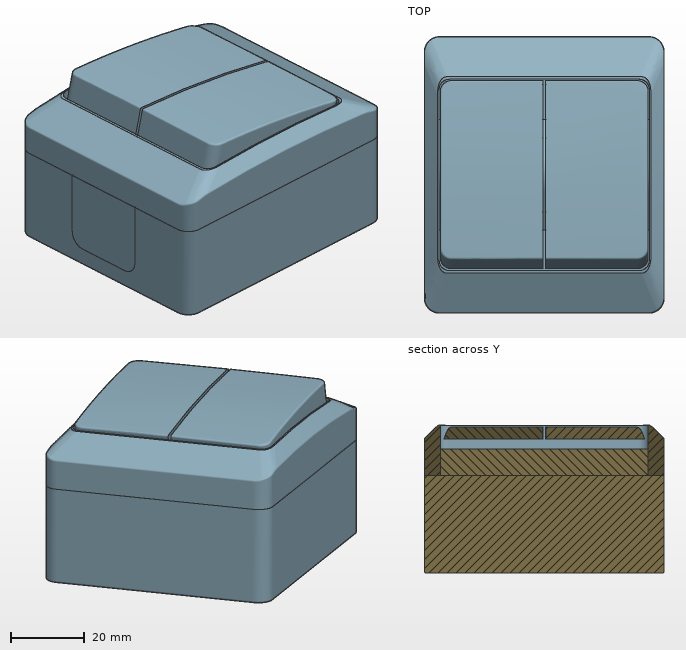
import cadquery as cq
import math


WIDTH = 65.0
LENGTH = 75.0
CORNER_R = 4.1
EDGE_R = 0.5
SEAM_Z = 26.55

PLATE_WIDTH = 24.0
PLATE_BOTTOM_Z = 4.95
PLATE_R = 4.0
PLATE_THICKNESS = 2.0

RIM_Z = 41.0
RIM_HALF_WIDTH = 28.95
RIM_HALF_LENGTH = 26.4
ARCH_R = 375.0
END_EDGE_Z = 34.6
END_SLOPE_RISE = 5.6
HIP_R = 5.4
RIM_THICKNESS = 0.45
OPENING_R = 2.8

FLOOR_Z = 33.75
RIDGE_HALF_BASE = 15.0
RIDGE_ANGLE = 28.0
RIDGE_R = 9.5

TOP_Z = 46.6
ROCKER_BOTTOM_Z = 36.4
ROCKER_HALF_WIDTH = 28.2
ROCKER_FRONT_Y = -22.9
ROCKER_BACK_Y = 25.65
ROCKER_BACK_Z = 40.9
ROCKER_TILT = 14.0
ROCKER_R = 3.0
ROCKER_GAP = 0.75
CROWN_R = 315.0
CROWN_CENTRE_Y = -33.0
CROWN_RISE = 0.165
CROSS_DROP = 0.3

OPENING_HALF_WIDTH = RIM_HALF_WIDTH - RIM_THICKNESS
OPENING_HALF_LENGTH = RIM_HALF_LENGTH - RIM_THICKNESS


def rounded_block(width, length, radius, bottom, top):
    block = cq.Workplane("XY").workplane(offset=bottom).rect(width, length).extrude(top - bottom)
    return block.edges("|Z").fillet(radius)


def opening_block(bottom, top):
    return rounded_block(2 * OPENING_HALF_WIDTH, 2 * OPENING_HALF_LENGTH, OPENING_R, bottom, top)


def arched(profile, radius, centre_y, top_z):
    axis_z = top_z - radius
    sweep = 2 * math.degrees(math.asin(LENGTH / radius))
    swept = profile.revolve(sweep, (0, axis_z, 0), (1, axis_z, 0))
    return swept.rotate((0, centre_y, axis_z), (1, centre_y, axis_z), -sweep / 2)


def make_plate():
    outline = (
        cq.Workplane("XZ", origin=(0, -LENGTH / 2, 0))
        .center(0, (SEAM_Z + PLATE_BOTTOM_Z) / 2)
        .rect(PLATE_WIDTH, SEAM_Z - PLATE_BOTTOM_Z)
    )
    return outline.extrude(-PLATE_THICKNESS).edges("|Y and <Z").fillet(PLATE_R)


def make_base(plate):
    box = rounded_block(WIDTH, LENGTH, CORNER_R, 0, SEAM_Z)
    return box.faces("<Z").edges().fillet(EDGE_R).cut(plate)


def make_roof():
    depth = RIM_Z - SEAM_Z + EDGE_R
    outline = [
        (-RIM_HALF_WIDTH - depth, RIM_Z - depth),
        (-RIM_HALF_WIDTH, RIM_Z),
        (RIM_HALF_WIDTH, RIM_Z),
        (RIM_HALF_WIDTH + depth, RIM_Z - depth),
    ]
    profile = cq.Workplane("XZ").polyline(outline).close()
    roof = arched(profile, ARCH_R, 0, RIM_Z)
    slope = END_SLOPE_RISE / (LENGTH / 2 - RIM_HALF_LENGTH)
    apex_z = END_EDGE_Z + slope * LENGTH / 2
    base_half = apex_z / slope
    ends = (
        cq.Workplane("YZ")
        .polyline([(-base_half, 0), (0, apex_z), (base_half, 0)]).close()
        .extrude(WIDTH, both=True)
    )
    return roof.intersect(ends)


def spans_all_axes(edge):
    box = edge.BoundingBox()
    return min(box.xlen, box.ylen, box.zlen) > EDGE_R


def is_wall_top(edge):
    ends = [edge.startPoint(), edge.endPoint()]
    outside = [
        abs(p.x) > RIM_HALF_WIDTH + EDGE_R or abs(p.y) > RIM_HALF_LENGTH + EDGE_R for p in ends
    ]
    return all(outside) and edge.BoundingBox().zmin > SEAM_Z + EDGE_R


def make_cover():
    roof = make_roof()
    roof = roof.newObject(roof.edges().filter(spans_all_axes).vals()).fillet(HIP_R)
    walls = rounded_block(WIDTH, LENGTH, CORNER_R, SEAM_Z, TOP_Z)
    cover = roof.intersect(walls)
    cover = cover.newObject(cover.edges().filter(is_wall_top).vals()).fillet(EDGE_R)
    return cover.cut(opening_block(SEAM_Z, TOP_Z))


def make_insert():
    block = opening_block(SEAM_Z, FLOOR_Z)
    apex_z = FLOOR_Z + RIDGE_HALF_BASE * math.tan(math.radians(RIDGE_ANGLE))
    ridge = (
        cq.Workplane("YZ")
        .polyline([(-RIDGE_HALF_BASE, FLOOR_Z), (0, apex_z), (RIDGE_HALF_BASE, FLOOR_Z)]).close()
        .extrude(OPENING_HALF_WIDTH, both=True)
        .edges(">Z").fillet(RIDGE_R)
    )
    return block.union(ridge)


def make_rocker_pair():
    lean = math.tan(math.radians(ROCKER_TILT))
    rise = TOP_Z - ROCKER_BOTTOM_Z
    front_bottom_y = ROCKER_FRONT_Y - rise * lean
    back_bottom_y = ROCKER_BACK_Y - (ROCKER_BACK_Z - ROCKER_BOTTOM_Z) * lean
    block_height = 2 * rise
    block = (
        cq.Workplane("YZ")
        .polyline([
            (front_bottom_y, ROCKER_BOTTOM_Z),
            (back_bottom_y, ROCKER_BOTTOM_Z),
            (back_bottom_y + block_height * lean, ROCKER_BOTTOM_Z + block_height),
            (front_bottom_y + block_height * lean, ROCKER_BOTTOM_Z + block_height),
        ]).close()
        .extrude(ROCKER_HALF_WIDTH, both=True)
        .edges("not (|X or |Y)").fillet(ROCKER_R)
    )
    crown_z = TOP_Z + CROWN_RISE
    side_z = crown_z - CROSS_DROP
    profile = (
        cq.Workplane("XZ", origin=(0, CROWN_CENTRE_Y, 0))
        .moveTo(-WIDTH / 2, 0)
        .lineTo(-WIDTH / 2, side_z)
        .threePointArc((0, crown_z), (WIDTH / 2, side_z))
        .lineTo(WIDTH / 2, 0).close()
    )
    crown = arched(profile, CROWN_R, CROWN_CENTRE_Y, crown_z)
    return block.intersect(crown).faces(">Z").edges().fillet(EDGE_R)


def make_rocker(side, insert):
    half = cq.Workplane("XY").box(WIDTH, 2 * LENGTH, 2 * TOP_Z)
    half = half.translate((side * (WIDTH + ROCKER_GAP) / 2, 0, TOP_Z))
    return make_rocker_pair().intersect(half).cut(insert)


plate = make_plate()
base = make_base(plate)
cover = make_cover()
insert = make_insert()
rockers = [make_rocker(side, insert) for side in (-1, 1)]

result = cq.Compound.makeCompound(
    [base.val(), plate.val(), cover.val(), insert.val(), *[rocker.val() for rocker in rockers]]
)